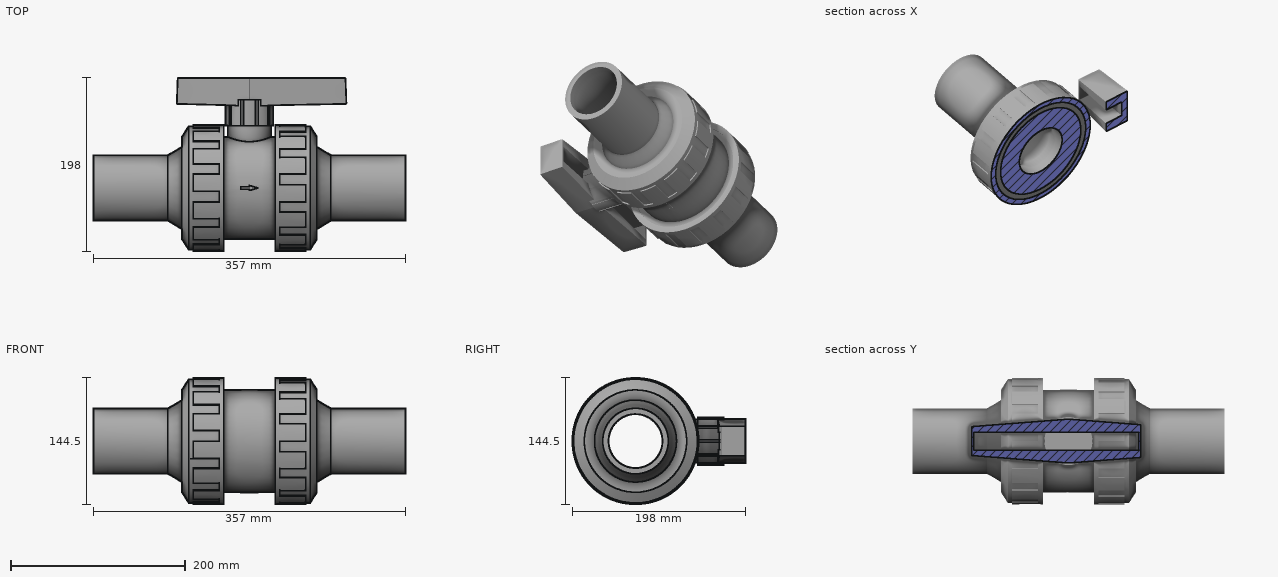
import cadquery as cq
import math


overall_length = 357.0
overall_depth = 198.0

left_end = -overall_length / 2
right_end = overall_length / 2
pipe_diameter = 75.0
bore_diameter = 61.5
cone_start = 93.0
cone_diameter = 94.0

body_diameter = 117.0

nut_inner_x = 29.3
nut_outer_x = 77.0
nut_chamfer_x = 69.3
nut_front_diameter = 117.0
nut_root_diameter = 141.7
nut_grip_diameter = 144.5
nut_recess_diameter = 130.0
nut_recess_depth = 1.0
grip_start_x = 34.5
grip_end_x = 64.3
grip_count = 14
grip_pitch = 360 / grip_count
grip_angle = 16.0
grip_first_center = -8.0

stem_diameter = 50.0
hub_diameter = 55.0
hub_bottom_y = 71.5
hub_top_y = 100.5
hub_groove_count = 10
hub_groove_width = 3.2
hub_groove_depth = 0.7

handle_center_bottom_y = 94.0
handle_end_bottom_y = 96.0
handle_top_y = overall_depth - nut_grip_diameter / 2
handle_left_x = -83.2
handle_right_x = 111.0
handle_center_half_width = 25.5
handle_left_half_width = 19.0
handle_end_draft = 1.0
handle_edge_radius = 1.5
handle_slot_width = 20.0
handle_slot_depth = 23.2
handle_end_wall = 3.2

arrow_tail_x = -9.5
arrow_neck_x = 0.0
arrow_tip_x = 9.5
arrow_shaft_half_width = 1.5
arrow_head_half_width = 3.0
arrow_height = 0.5


def cylinder_x(diameter, start, end):
    """Cylinder along X between two positions."""
    return cq.Workplane("YZ", origin=(start, 0, 0)).circle(diameter / 2).extrude(end - start)


def cylinder_y(diameter, start, end):
    """Cylinder on the stem axis between two Y positions."""
    plane = cq.Plane(origin=(0, start, 0), xDir=(1, 0, 0), normal=(0, 1, 0))
    return cq.Workplane(plane).circle(diameter / 2).extrude(end - start)


def tube_body():
    """Solid pipe tails, conical shoulders and central body as one revolved outline."""
    profile = [
        (left_end, 0),
        (left_end, pipe_diameter / 2),
        (-cone_start, pipe_diameter / 2),
        (-nut_outer_x, cone_diameter / 2),
        (-grip_end_x, cone_diameter / 2),
        (-grip_end_x, body_diameter / 2),
        (grip_end_x, body_diameter / 2),
        (grip_end_x, cone_diameter / 2),
        (nut_outer_x, cone_diameter / 2),
        (cone_start, pipe_diameter / 2),
        (right_end, pipe_diameter / 2),
        (right_end, 0),
    ]
    return cq.Workplane("XY").polyline(profile).close().revolve(360, (0, 0, 0), (1, 0, 0))


def grip_relief():
    """Material removed around the left nut to leave its raised fingers.

    The angles of the fingers run from -Y toward +Z.
    """
    outer_diameter = 2 * nut_grip_diameter
    relief = cylinder_x(outer_diameter, -nut_outer_x, -grip_start_x)
    relief = relief.cut(cylinder_x(nut_root_diameter, -nut_outer_x, -grip_start_x))

    half_angle = math.radians(grip_angle / 2)
    reach = outer_diameter
    half_width = reach * math.tan(half_angle)
    wedge = (
        cq.Workplane("YZ", origin=(-grip_end_x, 0, 0))
        .polyline([(0, 0), (-reach, half_width), (-reach, -half_width)])
        .close()
        .extrude(grip_end_x)
    )
    for i in range(grip_count):
        angle = grip_first_center + i * grip_pitch
        relief = relief.cut(wedge.rotate((0, 0, 0), (-1, 0, 0), angle))
    return relief


def left_nut():
    """Union nut with a conical front, raised grip fingers and a recessed inner face."""
    cone_slope = (nut_outer_x - nut_chamfer_x) / (nut_root_diameter - nut_front_diameter)
    cone_end_x = nut_outer_x - cone_slope * (nut_grip_diameter - nut_front_diameter)
    profile = [
        (-nut_outer_x, 0),
        (-nut_outer_x, nut_front_diameter / 2),
        (-cone_end_x, nut_grip_diameter / 2),
        (-nut_inner_x, nut_grip_diameter / 2),
        (-nut_inner_x, nut_recess_diameter / 2),
        (-nut_inner_x - nut_recess_depth, nut_recess_diameter / 2),
        (-nut_inner_x - nut_recess_depth, 0),
    ]
    nut = cq.Workplane("XY").polyline(profile).close().revolve(360, (0, 0, 0), (1, 0, 0))
    return nut.cut(grip_relief())


def splined_hub():
    """Hub under the handle with narrow grooves parallel to the stem axis."""
    hub = cylinder_y(hub_diameter, hub_bottom_y, hub_top_y)
    for i in range(hub_groove_count):
        groove = (
            cq.Workplane("XY")
            .box(2 * hub_groove_depth, hub_top_y - hub_bottom_y, hub_groove_width)
            .translate((hub_diameter / 2, (hub_top_y + hub_bottom_y) / 2, 0))
            .rotate((0, 0, 0), (0, 1, 0), i * 360 / hub_groove_count)
        )
        hub = hub.cut(groove)
    return hub


def handle():
    """Lever tapering from the stem to both ends, hollowed from the body side."""
    taper = (handle_center_half_width - handle_left_half_width) / -handle_left_x
    right_half_width = handle_center_half_width - taper * handle_right_x
    plan = [
        (handle_left_x, handle_left_half_width),
        (0, handle_center_half_width),
        (handle_right_x, right_half_width),
        (handle_right_x, -right_half_width),
        (0, -handle_center_half_width),
        (handle_left_x, -handle_left_half_width),
    ]
    height = handle_top_y - handle_center_bottom_y
    lever = cq.Workplane("XZ", origin=(0, handle_top_y, 0)).polyline(plan).close().extrude(height)

    side = [
        (0, handle_center_bottom_y),
        (handle_left_x, handle_end_bottom_y),
        (handle_left_x + handle_end_draft, handle_top_y),
        (handle_right_x - handle_end_draft, handle_top_y),
        (handle_right_x, handle_end_bottom_y),
    ]
    envelope = (
        cq.Workplane("XY")
        .polyline(side)
        .close()
        .extrude(handle_center_half_width, both=True)
        .edges("|Z and (<X or >X or >Y)")
        .fillet(handle_edge_radius)
    )
    lever = lever.intersect(envelope)

    slot_left = handle_left_x + handle_end_wall
    slot_right = handle_right_x - handle_end_wall
    slot_center_x = (slot_left + slot_right) / 2
    slot_center_y = handle_center_bottom_y + handle_slot_depth / 2
    slot = (
        cq.Workplane("XY")
        .box(slot_right - slot_left, handle_slot_depth, handle_slot_width)
        .translate((slot_center_x, slot_center_y, 0))
    )
    return lever.cut(slot)


def flow_arrows():
    """Arrow pads on the +Z and -Z sides, pointing along +X."""
    outline = [
        (arrow_tail_x, arrow_shaft_half_width),
        (arrow_neck_x, arrow_shaft_half_width),
        (arrow_neck_x, arrow_head_half_width),
        (arrow_tip_x, 0),
        (arrow_neck_x, -arrow_head_half_width),
        (arrow_neck_x, -arrow_shaft_half_width),
        (arrow_tail_x, -arrow_shaft_half_width),
    ]
    reach = body_diameter / 2 + arrow_height
    return cq.Workplane("XY").polyline(outline).close().extrude(reach, both=True)


nut = left_nut()
valve = tube_body().union(nut).union(nut.rotate((0, 0, 0), (0, 1, 0), 180))
valve = valve.union(cylinder_y(stem_diameter, 0, hub_bottom_y))
valve = valve.union(flow_arrows())
valve = valve.cut(cylinder_x(bore_diameter, left_end, right_end))
result = valve.union(handle()).union(splined_hub())